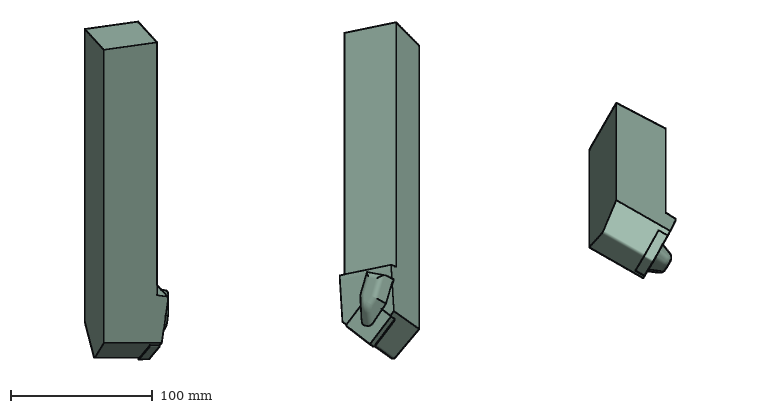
import cadquery as cq
import math

SHANK = 40.0
TOOL_LENGTH = 251.3

SEAT_TILT = 8.0
SEAT_Y = 40.7
HEAD_DEPTH = 48.0
HEAD_TOP = 57.3
SHOULDER_DROP = 2.3
HEAD_TIP = 0.5
HEAD_TIP_RADIUS = 2.0

INSERT_SIDE = 25.0
INSERT_THICKNESS = 7.5
INSERT_RADIUS = 1.3

CLAMP_WIDTH = 20.5
CLAMP_HEIGHT = 10.8
CLAMP_EMBED = 0.8
CLAMP_BODY = 18.5
CLAMP_NOSE = 18.5
CLAMP_TIP_WIDTH = 7.5
CLAMP_TURN = 21.0
CLAMP_DRAFT = 22.0
CLAMP_END_X = -11.3
CLAMP_END_UP = 48.3
CLAMP_RADIUS = 4.5
RAMP_START = 26.1
RAMP_ANGLE = 45.0
RAMP_RADIUS = 10.0

tilt = math.radians(SEAT_TILT)
turn = math.radians(CLAMP_TURN)

SEAT = cq.Plane(
    origin=(0, SEAT_Y, 0), xDir=(1, 0, 0), normal=(0, -math.cos(tilt), math.sin(tilt))
)


def make_shank_and_head_blank():
    """Shank and deeper head as one side outline, with the seat sloping in below the shoulder."""
    bottom = -HEAD_DEPTH
    seat_top = (HEAD_DEPTH - SEAT_Y) / math.tan(tilt)
    outline = [
        (0, bottom),
        (SEAT_Y + bottom * math.tan(tilt), bottom),
        (HEAD_DEPTH, seat_top),
        (HEAD_DEPTH, HEAD_TOP - SHOULDER_DROP),
        (SHANK, HEAD_TOP),
        (SHANK, TOOL_LENGTH),
        (0, TOOL_LENGTH),
    ]
    return cq.Workplane("YZ").polyline(outline).close().extrude(SHANK / 2, both=True)


def make_head_point():
    """Long prism with a rounded right-angled point, square to the seat, that bounds the head."""
    wide = SHANK
    slope_top = HEAD_TIP + wide
    top = 2 * TOOL_LENGTH
    outline = [(0, HEAD_TIP), (wide, slope_top), (wide, top), (-wide, top), (-wide, slope_top)]
    return (
        cq.Workplane(SEAT)
        .polyline(outline)
        .close()
        .extrude(TOOL_LENGTH, both=True)
        .edges(cq.selectors.NearestToPointSelector(SEAT.toWorldCoords((0, HEAD_TIP))))
        .fillet(HEAD_TIP_RADIUS)
    )


def make_insert():
    """Square insert, point down, its face flush with the seat."""
    corner_loss = INSERT_RADIUS * (math.sqrt(2) - 1)
    centre_up = INSERT_SIDE / math.sqrt(2) - corner_loss
    return (
        cq.Workplane(SEAT)
        .center(0, centre_up)
        .transformed(rotate=(0, 0, 45))
        .rect(INSERT_SIDE, INSERT_SIDE)
        .extrude(INSERT_THICKNESS)
        .edges(cq.selectors.ParallelDirSelector(SEAT.zDir))
        .fillet(INSERT_RADIUS)
    )


def make_clamp_plan():
    """Leaning-sided clamp, +X from the blunt end to the nose, overlong behind the blunt end."""
    half = CLAMP_WIDTH / 2 + CLAMP_EMBED * math.tan(math.radians(CLAMP_DRAFT))
    half_tip = CLAMP_TIP_WIDTH / 2
    back = -CLAMP_WIDTH
    nose_end = CLAMP_BODY + CLAMP_NOSE
    outline = [
        (back, -half),
        (CLAMP_BODY, -half),
        (nose_end, -half_tip),
        (nose_end, half_tip),
        (CLAMP_BODY, half),
        (back, half),
    ]
    return (
        cq.Workplane("XY", origin=(0, 0, -CLAMP_EMBED))
        .polyline(outline)
        .close()
        .extrude(CLAMP_HEIGHT + CLAMP_EMBED, taper=CLAMP_DRAFT)
    )


def make_clamp_side():
    """Side shape of the clamp: square blunt end, flat top and a ramp down the nose."""
    nose_end = CLAMP_BODY + CLAMP_NOSE
    ramp_end = RAMP_START + CLAMP_HEIGHT / math.tan(math.radians(RAMP_ANGLE))
    outline = [
        (0, -CLAMP_EMBED),
        (nose_end, -CLAMP_EMBED),
        (ramp_end, 0),
        (RAMP_START, CLAMP_HEIGHT),
        (0, CLAMP_HEIGHT),
    ]
    return (
        cq.Workplane("XZ")
        .polyline(outline)
        .close()
        .extrude(CLAMP_WIDTH, both=True)
        .edges(cq.selectors.NearestToPointSelector((RAMP_START, 0, CLAMP_HEIGHT)))
        .fillet(RAMP_RADIUS)
    )


def make_clamp():
    """Clamp with rounded top edges, set on the seat with its nose over the insert."""
    clamp = make_clamp_plan().intersect(make_clamp_side())
    clamp = clamp.faces(">Z").edges("not >X").fillet(CLAMP_RADIUS)
    place = cq.Plane(
        origin=SEAT.toWorldCoords((CLAMP_END_X, CLAMP_END_UP)),
        xDir=SEAT.xDir * math.sin(turn) - SEAT.yDir * math.cos(turn),
        normal=SEAT.zDir * -1,
    )
    return cq.Workplane(clamp.val().moved(place.location))


def make_holder(insert):
    """Shank, pointed head and clamp in one piece, with a pocket that fits the insert."""
    head = make_shank_and_head_blank().intersect(make_head_point())
    return head.union(make_clamp()).cut(insert)


insert = make_insert()
holder = make_holder(insert)

result = cq.Compound.makeCompound([holder.val(), insert.val()])